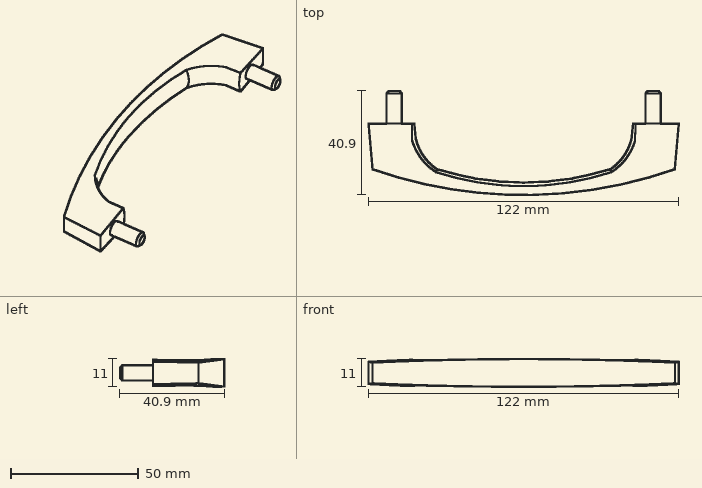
import cadquery as cq

LENGTH = 122.0
DEPTH = 28.0
HEIGHT = 11.0
HALF_LENGTH = LENGTH / 2

FRONT_HALF_LENGTH = 59.4
SIDE_DEPTH = 17.9

CROWN_DROP = 1.7
CROWN_SLOPE = 0.025

EDGE_LEG_X = 44.0
EDGE_LEG_END = (44.0, 6.8)
EDGE_BEND = (40.5, 13.8)
EDGE_CORNER = (34.4, 19.3)
EDGE_DEPTH = 24.5

BULGE_LEG_X = 43.0
BULGE_LEG_END = (42.3, 6.0)
BULGE_BEND = (39.4, 12.6)
BULGE_CORNER = (34.2, 17.8)
BULGE_DEPTH = 22.9

PIN_RADIUS = 3.0
PIN_LENGTH = 12.9
PIN_CHAMFER = 1.0
PIN_X = 50.9

MARGIN = 6.1


def bow_plate():
    """Prism with a flat back, leaning ends and an arched front."""
    return (
        cq.Workplane("XY")
        .workplane(offset=-HEIGHT)
        .moveTo(-HALF_LENGTH, 0)
        .lineTo(-FRONT_HALF_LENGTH, -SIDE_DEPTH)
        .threePointArc((0, -DEPTH), (FRONT_HALF_LENGTH, -SIDE_DEPTH))
        .lineTo(HALF_LENGTH, 0)
        .close()
        .extrude(2 * HEIGHT)
    )


def crown_envelope():
    """Everything below the top face, which reaches full height at the middle of its inner edge."""
    arc_plane = cq.Plane(
        origin=(0, -EDGE_DEPTH, HEIGHT / 2),
        xDir=(1, 0, 0),
        normal=(0, -1, -CROWN_SLOPE),
    )
    return (
        cq.Workplane(arc_plane)
        .moveTo(-HALF_LENGTH, -CROWN_DROP)
        .threePointArc((0, 0), (HALF_LENGTH, -CROWN_DROP))
        .lineTo(HALF_LENGTH, -2 * HEIGHT)
        .lineTo(-HALF_LENGTH, -2 * HEIGHT)
        .close()
        .extrude(DEPTH + MARGIN, both=True)
    )


def opening_section(z, leg_x, leg_end, bend, corner, depth):
    """Closed outline of the finger opening at one height; (x, y) pairs hold the depth as y."""
    return (
        cq.Workplane("XY", origin=(0, 0, z))
        .moveTo(-leg_x, MARGIN)
        .lineTo(-leg_x, 0)
        .lineTo(-leg_end[0], -leg_end[1])
        .threePointArc((-bend[0], -bend[1]), (-corner[0], -corner[1]))
        .threePointArc((0, -depth), (corner[0], -corner[1]))
        .threePointArc((bend[0], -bend[1]), (leg_end[0], -leg_end[1]))
        .lineTo(leg_x, 0)
        .lineTo(leg_x, MARGIN)
        .close()
        .wire()
        .val()
    )


def finger_opening():
    """Opening lofted smoothly through three outlines, then carried straight on past both faces."""
    edge = (EDGE_LEG_X, EDGE_LEG_END, EDGE_BEND, EDGE_CORNER, EDGE_DEPTH)
    bulge = (BULGE_LEG_X, BULGE_LEG_END, BULGE_BEND, BULGE_CORNER, BULGE_DEPTH)
    bottom = opening_section(-HEIGHT / 2, *edge)
    middle = opening_section(0, *bulge)
    top = opening_section(HEIGHT / 2, *edge)
    above = cq.Solid.extrudeLinear(top, [], cq.Vector(0, 0, MARGIN))
    below = cq.Solid.extrudeLinear(bottom, [], cq.Vector(0, 0, -MARGIN))
    return [cq.Solid.makeLoft([bottom, middle, top]), above, below]


def make_handle():
    top_envelope = crown_envelope()
    bottom_envelope = top_envelope.mirror("XY")
    body = bow_plate().intersect(top_envelope).intersect(bottom_envelope)
    for cutter in finger_opening():
        body = body.cut(cq.Workplane(cutter))
    return cq.Workplane(body.solids().val())


def make_pin(x):
    """Pin standing on the mounting face, chamfered at its free end."""
    return (
        cq.Workplane("XZ", origin=(x, 0, 0))
        .circle(PIN_RADIUS)
        .extrude(-PIN_LENGTH)
        .faces(">Y")
        .chamfer(PIN_CHAMFER)
    )


handle = make_handle()
pins = [make_pin(side * PIN_X) for side in (-1, 1)]

result = cq.Compound.makeCompound([handle.val(), *[pin.val() for pin in pins]])